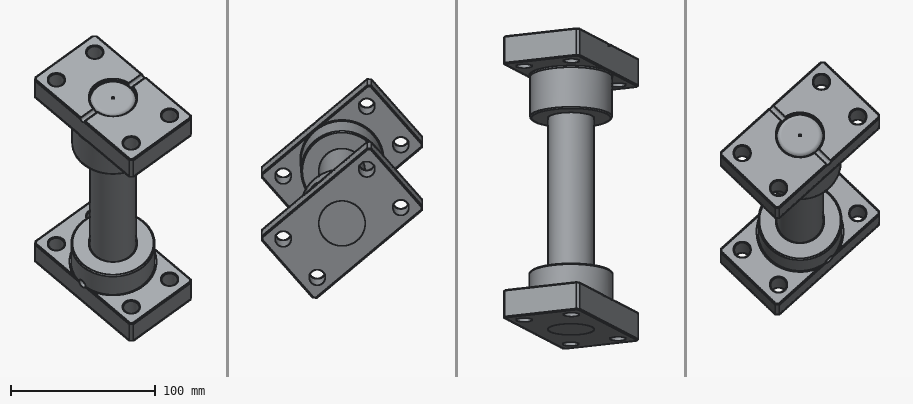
import cadquery as cq

total_height = 200.2

plate_length = 100.0
plate_width = 58.0
plate_thickness = 19.8
corner_chamfer = 2.0
rim_chamfer = 0.8
bolt_hole_diameter = 11.0
bolt_hole_mouth_chamfer = 0.6
bolt_pitch_x = 76.0
bolt_pitch_y = 36.0

lower_hub_diameter = 57.9
lower_hub_height = 20.2
upper_hub_diameter = 56.7
upper_hub_height = 30.2
hub_chamfer = 1.0
rim_flare = 0.6
rim_height = 1.2
root_groove_width = 1.2
root_groove_depth = 0.6

post_diameter = 32.0
post_recess = 0.5
post_end_fillet = 3.2
center_mark_diameter = 1.6
center_mark_depth = 1.6
bore_mouth_chamfer = 0.8

oil_hole_radius = 3.2
oil_groove_radius = 2.0

lower_plate_top = plate_thickness
lower_hub_top = lower_plate_top + lower_hub_height
upper_plate_bottom = total_height - plate_thickness
upper_hub_bottom = upper_plate_bottom - upper_hub_height


def cylinder(diameter, bottom, top):
    """Vertical cylinder on the Z axis between two levels."""
    return cq.Workplane("XY").workplane(offset=bottom).circle(diameter / 2).extrude(top - bottom)


def make_plate(bottom):
    """Chamfered rectangular plate whose underside lies at the given level."""
    return (
        cq.Workplane("XY")
        .workplane(offset=bottom)
        .rect(plate_length, plate_width)
        .extrude(plate_thickness)
        .edges("|Z")
        .chamfer(corner_chamfer)
        .faces("<Z or >Z")
        .edges()
        .chamfer(rim_chamfer)
    )


def cone(diameter, top, flare, height):
    """Cone on the Z axis that widens upward from a diameter by a flare on each side."""
    radius = diameter / 2
    base = cq.Vector(0, 0, top - height)
    return cq.Workplane(cq.Solid.makeCone(radius, radius + flare, height, base))


def cut_bolt_holes(body, plate_bottom):
    """Cut the four through holes, each with a small countersink at the plate top."""
    plate_top = plate_bottom + plate_thickness
    hole = cylinder(bolt_hole_diameter, plate_bottom, plate_top)
    countersink = cone(bolt_hole_diameter, plate_top, bolt_hole_mouth_chamfer, bolt_hole_mouth_chamfer)
    hole = hole.union(countersink)
    for side_x in (-1, 1):
        for side_y in (-1, 1):
            offset = (side_x * bolt_pitch_x / 2, side_y * bolt_pitch_y / 2, 0)
            body = body.cut(hole.translate(offset))
    return body


def cut_post_bore(body, bottom, top):
    """Cut the through bore for the post and chamfer its upper mouth."""
    body = body.cut(cylinder(post_diameter, bottom, top))
    return body.cut(cone(post_diameter, top, bore_mouth_chamfer, bore_mouth_chamfer))


def oil_passage(radius, level, end_y):
    """Horizontal round cutter along Y, from beyond the -Y side to the given end."""
    start_y = -plate_width
    cutter = cq.Workplane(cq.Solid.makeCylinder(radius, end_y - start_y))
    cutter = cutter.rotate((0, 0, 0), (1, 0, 0), -90).rotate((0, 0, 0), (0, 1, 0), 90)
    return cutter.translate((0, start_y, level))


def make_lower_flange():
    """Lower plate and its hub in one piece, bored for the post."""
    plate = make_plate(0)

    relief = cone(lower_hub_diameter, lower_plate_top, root_groove_width, root_groove_depth)
    plate = plate.cut(relief)

    hub_foot = lower_plate_top - root_groove_depth
    hub = cylinder(lower_hub_diameter, hub_foot, lower_hub_top).faces(">Z").edges().chamfer(hub_chamfer)
    flange = cut_bolt_holes(plate.union(hub), 0)
    flange = cut_post_bore(flange, 0, lower_hub_top)

    return flange.cut(oil_passage(oil_hole_radius, lower_plate_top, 0))


def make_upper_hub():
    """Turned hub, slightly flared where it meets the plate and rooted inside it."""
    radius = upper_hub_diameter / 2
    rim_radius = radius + rim_flare
    root = upper_plate_bottom + plate_thickness / 2
    return (
        cq.Workplane("XZ")
        .moveTo(0, upper_hub_bottom)
        .lineTo(radius - hub_chamfer, upper_hub_bottom)
        .lineTo(radius, upper_hub_bottom + hub_chamfer)
        .lineTo(radius, upper_plate_bottom - rim_height)
        .lineTo(rim_radius, upper_plate_bottom)
        .lineTo(rim_radius, root)
        .lineTo(0, root)
        .close()
        .revolve(360, (0, 0, 0), (0, 1, 0))
    )


def make_upper_flange():
    """Upper plate and its hub in one piece, bored for the post."""
    flange = make_plate(upper_plate_bottom).union(make_upper_hub())
    flange = cut_bolt_holes(flange, upper_plate_bottom)
    flange = cut_post_bore(flange, upper_hub_bottom, total_height)

    return flange.cut(oil_passage(oil_groove_radius, total_height, plate_width))


def make_post():
    """Round post, flush with the underside and rounded at its recessed, centre-marked top."""
    post_top = total_height - post_recess
    post = cylinder(post_diameter, 0, post_top).faces(">Z").edges().fillet(post_end_fillet)
    return post.cut(cylinder(center_mark_diameter, post_top - center_mark_depth, post_top))


lower_flange = make_lower_flange()
upper_flange = make_upper_flange()
post = make_post()

result = cq.Compound.makeCompound(
    [
        lower_flange.solids().val(),
        upper_flange.solids().val(),
        post.solids().val(),
    ]
)